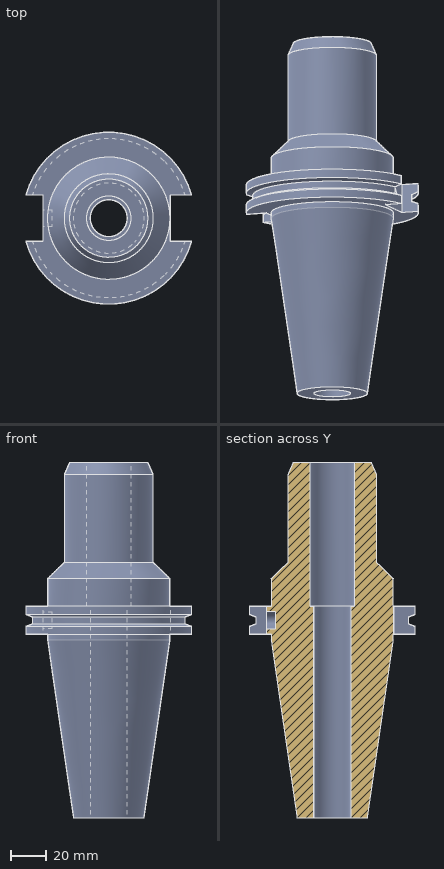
import cadquery as cq

total_height = 203.2
taper_length = 101.5
flange_bottom = 104.9
flange_thickness = 16.3
flange_top = flange_bottom + flange_thickness
collar_top = 136.8
nose_bottom = 146.0
nose_chamfer_height = 7.0

taper_slope = 7 / 48
collar_radius = 35.0
taper_end_radius = collar_radius - taper_length * taper_slope
flange_radius = 49.2
nose_radius = 25.5
nose_tip_radius = 22.4

groove_radius = 45.5
groove_lower_edge = 109.5
groove_floor_bottom = 111.0
groove_floor_top = 114.8
groove_upper_edge = 116.2

slot_width = 26.2
left_slot_floor = 37.5
right_slot_floor = 35.2

side_hole_diameter = 9.5
side_hole_depth = 5.0

tool_bore_diameter = 25.5
through_bore_diameter = 21.0
tool_bore_bottom = flange_top


def turned_body():
    """Taper, grooved flange, collar and nose revolved about Z."""
    profile = [
        (0, 0),
        (taper_end_radius, 0),
        (collar_radius, taper_length),
        (collar_radius, flange_bottom),
        (flange_radius, flange_bottom),
        (flange_radius, groove_lower_edge),
        (groove_radius, groove_floor_bottom),
        (groove_radius, groove_floor_top),
        (flange_radius, groove_upper_edge),
        (flange_radius, flange_top),
        (collar_radius, flange_top),
        (collar_radius, collar_top),
        (nose_radius, nose_bottom),
        (nose_radius, total_height - nose_chamfer_height),
        (nose_tip_radius, total_height),
        (0, total_height),
    ]
    return cq.Workplane("XZ").polyline(profile).close().revolve(360, (0, 0), (0, 1))


def drive_slot(side, floor):
    """Slot cutter on the +X (side = 1) or -X (side = -1) side, outward from its floor."""
    return (
        cq.Workplane("XY", origin=(side * (floor + flange_radius / 2), 0, flange_bottom))
        .box(flange_radius, slot_width, flange_thickness, centered=(True, True, False))
    )


def side_hole():
    """Radial hole running inward from the left slot floor at mid-flange height."""
    mid_flange = flange_bottom + flange_thickness / 2
    return (
        cq.Workplane("YZ", origin=(-left_slot_floor, 0, mid_flange))
        .circle(side_hole_diameter / 2)
        .extrude(side_hole_depth)
    )


def axial_bore():
    """Through bore widened from the nose end to take the tool shank."""
    through_bore = cq.Workplane("XY").circle(through_bore_diameter / 2).extrude(total_height)
    tool_bore = (
        cq.Workplane("XY", origin=(0, 0, tool_bore_bottom))
        .circle(tool_bore_diameter / 2)
        .extrude(total_height - tool_bore_bottom)
    )
    return through_bore.union(tool_bore)


result = (
    turned_body()
    .cut(drive_slot(-1, left_slot_floor))
    .cut(drive_slot(1, right_slot_floor))
    .cut(side_hole())
    .cut(axial_bore())
)